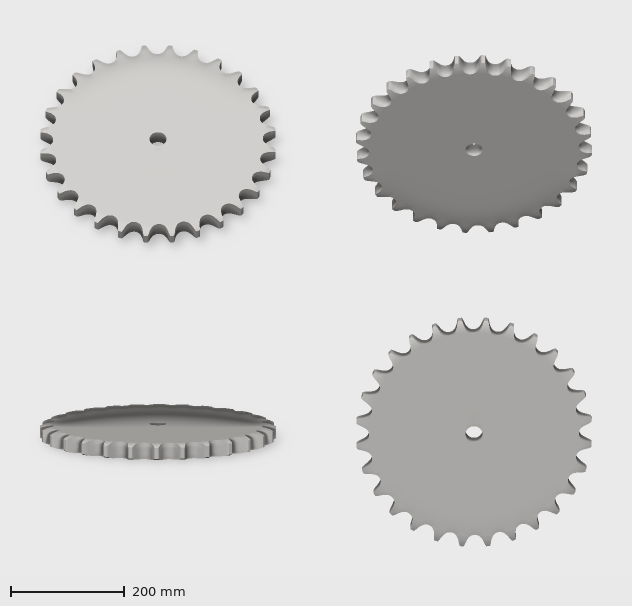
import cadquery as cq
import math

teeth = 28
thickness = 29.5
bore_diameter = 30.0
pitch_diameter = 397.0
chain_pitch = pitch_diameter * math.sin(math.pi / teeth)
roller_diameter = 27.7
tip_diameter = 416.0
face_diameter = 375.5
side_radius = chain_pitch
overshoot = 2.0

seat_radius = 14.0
seat_angle = math.radians(35 + 60 / teeth)
working_angle = math.radians(18 - 56 / teeth)
working_offset = 0.8 * roller_diameter
working_radius = working_offset + seat_radius
topping_offset = 1.4 * roller_diameter
half_pitch_angle = math.pi / teeth


def polar(center, radius, angle):
    return (center[0] + radius * math.cos(angle), center[1] + radius * math.sin(angle))


def mirrored(point):
    return (point[0], -point[1])


def make_blank():
    """Disc whose rim is rounded on both sides, tangent to the flat faces."""
    face_radius = face_diameter / 2
    tip_radius = tip_diameter / 2
    half = thickness / 2
    arc_center = (face_radius, half - side_radius)
    rim_angle = math.acos((tip_radius - face_radius) / side_radius)
    rim = polar(arc_center, side_radius, rim_angle)
    mid = polar(arc_center, side_radius, (rim_angle + math.pi / 2) / 2)
    return (
        cq.Workplane("XZ")
        .moveTo(0, -half)
        .lineTo(face_radius, -half)
        .threePointArc(mirrored(mid), mirrored(rim))
        .lineTo(*rim)
        .threePointArc(mid, (face_radius, half))
        .lineTo(0, half)
        .close()
        .revolve(360, (0, 0, 0), (0, 1, 0))
    )


def make_gap_cutter():
    """Cutter for the gap between two teeth, centred on the +X axis."""
    roller = (pitch_diameter / 2, 0)
    seat_end_angle = math.pi / 2 + seat_angle
    seat_bottom = polar(roller, seat_radius, math.pi)
    seat_end = polar(roller, seat_radius, seat_end_angle)
    working_center = polar(roller, working_offset, seat_end_angle - math.pi)
    flank_angle = seat_end_angle - working_angle
    working_mid = polar(working_center, working_radius, seat_end_angle - working_angle / 2)
    working_end = polar(working_center, working_radius, flank_angle)
    topping_center = polar(roller, topping_offset, math.pi / 2 + half_pitch_angle)
    tangent = flank_angle - math.pi / 2
    straight_length = (
        (topping_center[0] - working_end[0]) * math.cos(tangent)
        + (topping_center[1] - working_end[1]) * math.sin(tangent)
    )
    straight_end = polar(working_end, straight_length, tangent)
    topping_radius = math.dist(topping_center, straight_end)
    topping_start = flank_angle - math.pi
    reach = tip_diameter / 2 + overshoot
    topping_finish = -math.acos((reach - topping_center[0]) / topping_radius)
    topping_end = polar(topping_center, topping_radius, topping_finish)
    topping_mid = polar(topping_center, topping_radius, (topping_start + topping_finish) / 2)
    return (
        cq.Workplane("XY", origin=(0, 0, -thickness))
        .moveTo(*mirrored(topping_end))
        .threePointArc(mirrored(topping_mid), mirrored(straight_end))
        .lineTo(*mirrored(working_end))
        .threePointArc(mirrored(working_mid), mirrored(seat_end))
        .threePointArc(seat_bottom, seat_end)
        .threePointArc(working_mid, working_end)
        .lineTo(*straight_end)
        .threePointArc(topping_mid, topping_end)
        .close()
        .extrude(2 * thickness)
    )


def cut_tooth_gaps(blank):
    """Cut one gap per tooth, evenly spaced around the blank."""
    gap_cutter = make_gap_cutter()
    for index in range(teeth):
        turned_cutter = gap_cutter.rotate((0, 0, 0), (0, 0, 1), index * 360 / teeth)
        blank = blank.cut(turned_cutter)
    return blank


bore = cq.Workplane("XY").circle(bore_diameter / 2).extrude(thickness, both=True)
result = cut_tooth_gaps(make_blank()).cut(bore)